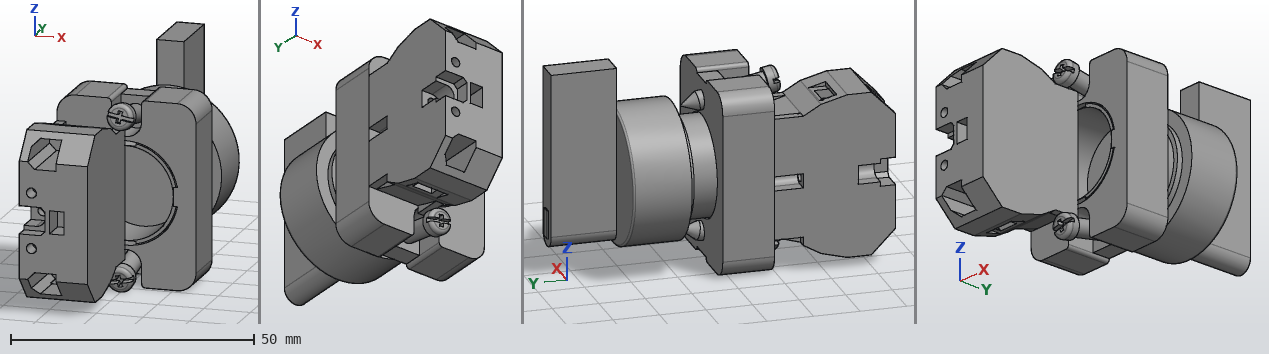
import cadquery as cq
import math


base_front = 26.0
base_back = 37.15
flange_front = 42.35
bezel_front = 43.7
bezel_back = 56.3
handle_back = 70.3
mark_back = 70.6

handle_width = 5.85
handle_top = 24.35
handle_bottom = -14.1
mark_width = 2.1
mark_top = -6.1
mark_bottom = -12.2

bezel_radius = 15.0
bezel_round = 0.4
flange_radius = 12.0
barrel_radius = 10.9
barrel_bore_radius = 10.1
key_width = 4.1
key_depth = 2.8
ramp_low = 10.2
ramp_high = 10.8

base_width = 29.9
base_height = 39.95
base_corner_radius = 4.0
base_bore_radius = 11.15
screw_slot_width = 6.5
screw_slot_bottom = 12.1
screw_slot_edge_round = 0.85
lug_front = 32.7
lug_top = 19.05

screw_tip_y = 41.8
screw_tip_z = 13.5
screw_tilt = 10.9
screw_point_length = 3.75
screw_body_length = 18.6
screw_radius = 2.05
screw_head_radius = 2.8
screw_head_length = 2.7
screw_head_round = 0.9
drive_slot_width = 0.9
drive_slot_depth = 1.4
drive_cross_length = 2.55
drive_turn = 10.0

block_left = -base_width / 2
block_right = -0.3
shoulder_y = 19.85
shoulder_z = 14.2
knee_y = 16.0
knee_z = 16.4
crown_back = 10.4
crown_front = 5.2
crown_z = 17.85
nose_z = 12.6
rail_width = 2.0
rail_height = 1.85

pocket_left = -13.1
pocket_right = -7.05
pocket_bottom = 11.0
pocket_top = 16.6
pocket_chamfer = 1.5
pocket_depth = 15.05
window_left = -13.0
window_right = -5.15
window_front = 12.1
window_floor = 16.45
opening_left = -11.85

hole_x = -12.35
hole_radius = 1.05
test_hole_z = 5.9
test_hole_depth = 4.25
head_notch_right = -9.45
head_notch_height = 6.0
head_notch_depth = 3.25
head_notch_chamfer = 0.9
front_slot_radius = 2.05
front_slot_end = 8.0
rear_slot_radius = 1.55
latch_left = -8.5
latch_right = -5.4
latch_height = 4.95
latch_depth = 5.65


def block(x_min, x_max, y_min, y_max, z_min, z_max):
    """Rectangular block between the given limits."""
    size = (x_max - x_min, y_max - y_min, z_max - z_min)
    return cq.Workplane("XY").box(*size, centered=False).translate((x_min, y_min, z_min))


def rod(radius, y_min, y_max, x=0.0, z=0.0):
    """Cylinder running along Y."""
    solid = cq.Solid.makeCylinder(radius, y_max - y_min, cq.Vector(x, y_min, z), cq.Vector(0, 1, 0))
    return cq.Workplane("XY").add(solid)


def with_mirror(shape):
    """The shape together with its mirror image below the Z = 0 plane."""
    return shape.union(shape.mirror("XY"))


def make_handle():
    half_width = handle_width / 2
    round_center_z = handle_bottom + half_width
    grip = (
        cq.Workplane("XZ", origin=(0, handle_back, 0))
        .moveTo(-half_width, handle_top)
        .lineTo(half_width, handle_top)
        .lineTo(half_width, round_center_z)
        .threePointArc((0, handle_bottom), (-half_width, round_center_z))
        .close()
        .extrude(handle_back - bezel_back)
    )
    mark = block(-mark_width / 2, mark_width / 2, handle_back, mark_back, mark_bottom, mark_top)
    return grip.union(mark)


def side_keys():
    """Inward keys of the base on the +X and -X sides, engaging the end of the barrel."""
    key_back = base_front + key_depth
    half_width = key_width / 2
    bar = block(-base_bore_radius, base_bore_radius, base_front, key_back, -half_width, half_width)
    middle = block(-barrel_bore_radius, barrel_bore_radius, base_front, key_back, -half_width, half_width)
    return bar.cut(middle)


def make_head():
    bezel = rod(bezel_radius, bezel_front, bezel_back).faces(">Y").edges().fillet(bezel_round)
    flange = rod(flange_radius, flange_front, bezel_front)
    barrel = rod(barrel_radius, base_front, flange_front)
    head = bezel.union(flange).union(barrel)
    head = head.cut(rod(barrel_bore_radius, base_front, base_back))
    ramp = (
        cq.Workplane("YZ")
        .polyline([
            (base_front, ramp_low),
            (base_front + key_depth, ramp_high),
            (base_front + key_depth, base_bore_radius),
            (base_front, base_bore_radius),
        ])
        .close()
        .extrude(key_width / 2, both=True)
    )
    return head.cut(with_mirror(ramp)).cut(side_keys())


def screw_slot():
    """Upper screw slot of the base: round-bottomed, open at the top, with rounded mouth edges."""
    half_width = screw_slot_width / 2
    top = base_height / 2
    arc_center_z = screw_slot_bottom + half_width
    mouth = half_width + screw_slot_edge_round
    round_start_z = top - screw_slot_edge_round
    diagonal = screw_slot_edge_round * (1 - math.sqrt(0.5))
    return (
        cq.Workplane("XZ", origin=(0, base_back, 0))
        .moveTo(-mouth, top)
        .threePointArc((-half_width - diagonal, top - diagonal), (-half_width, round_start_z))
        .lineTo(-half_width, arc_center_z)
        .threePointArc((0, screw_slot_bottom), (half_width, arc_center_z))
        .lineTo(half_width, round_start_z)
        .threePointArc((half_width + diagonal, top - diagonal), (mouth, top))
        .close()
        .extrude(base_back - base_front)
    )


def make_base(screws):
    half_width = base_width / 2
    half_height = base_height / 2
    base = block(-half_width, half_width, base_front, base_back, -half_height, half_height)
    base = base.edges("|Y").fillet(base_corner_radius)
    base = base.cut(rod(base_bore_radius, base_front, base_back))
    base = base.union(side_keys()).cut(with_mirror(screw_slot()))
    lug = block(-screw_slot_width / 2, screw_slot_width / 2, lug_front, base_back, screw_slot_bottom, lug_top)
    base = base.union(with_mirror(lug))
    for screw in screws:
        base = base.cut(screw)
    return base


def make_screw():
    """Upper screw, tilted so that its head points away from the switch axis."""
    head_start = -screw_body_length
    head_end = head_start - screw_head_length
    screw = (
        cq.Workplane("XY")
        .polyline([
            (0, 0),
            (screw_radius, -screw_point_length),
            (screw_radius, head_start),
            (screw_head_radius, head_start),
            (screw_head_radius, head_end),
            (0, head_end),
        ])
        .close()
        .revolve(360, (0, 0, 0), (0, 1, 0))
        .faces("<Y")
        .edges()
        .fillet(screw_head_round)
    )
    slot_end = head_end + drive_slot_depth
    half_slot = drive_slot_width / 2
    half_cross = drive_cross_length / 2
    full_slot = block(-screw_head_radius, screw_head_radius, head_end, slot_end, -half_slot, half_slot)
    cross_slot = block(-half_slot, half_slot, head_end, slot_end, -half_cross, half_cross)
    screw = screw.cut(full_slot.union(cross_slot).rotate((0, 0, 0), (0, 1, 0), drive_turn))
    screw = screw.rotate((0, 0, 0), (1, 0, 0), -screw_tilt)
    return screw.translate((0, screw_tip_y, screw_tip_z))


def block_body():
    """Contact block outline in the YZ plane, extruded across its width."""
    upper = [
        (0, nose_z),
        (crown_front, crown_z),
        (crown_back, crown_z),
        (knee_y, knee_z),
        (shoulder_y, shoulder_z),
        (base_front, shoulder_z),
    ]
    lower = [(y, -z) for y, z in reversed(upper)]
    outline = cq.Workplane("YZ", origin=(block_left, 0, 0)).polyline(upper + lower).close()
    return outline.extrude(block_right - block_left)


def shoulder_wedge():
    """Wedge that slopes the shoulder down toward the base between its two side rails."""
    return (
        cq.Workplane("YZ", origin=(block_left + rail_width, 0, 0))
        .polyline([
            (shoulder_y, shoulder_z),
            (base_front, shoulder_z),
            (base_front, shoulder_z - rail_height),
        ])
        .close()
        .extrude(block_right - block_left - 2 * rail_width)
    )


def terminal_pocket():
    """Upper terminal pocket, with the window that opens into it from the sloping top."""
    pocket = block(pocket_left, pocket_right, 0, pocket_depth, pocket_bottom, pocket_top)
    pocket = pocket.edges("|Y and <X").chamfer(pocket_chamfer)
    recess = block(window_left, window_right, window_front, knee_y, window_floor, crown_z)
    opening = block(opening_left, pocket_right, window_front, pocket_depth, pocket_bottom + pocket_chamfer,
                    window_floor)
    return pocket.union(recess).union(opening)


def side_slot(radius, y_min, y_max):
    """Round-ended slot open on the -X side and ending around the fixing hole axis."""
    straight = block(block_left, hole_x, y_min, y_max, -radius, radius)
    return straight.union(rod(radius, y_min, y_max, hole_x))


def make_contact_block():
    body = block_body()
    body = body.cut(with_mirror(shoulder_wedge()))
    body = body.cut(block(block_left, block_left + rail_width, shoulder_y, base_front,
                          -shoulder_z, rail_height - shoulder_z))
    body = body.cut(with_mirror(terminal_pocket()))
    notch = block(block_left, head_notch_right, 0, head_notch_depth,
                  -head_notch_height / 2, head_notch_height / 2)
    notch = notch.edges("|Y and >X").chamfer(head_notch_chamfer)
    body = body.cut(notch)
    body = body.cut(side_slot(front_slot_radius, 0, front_slot_end))
    body = body.cut(side_slot(rear_slot_radius, shoulder_y, base_front))
    body = body.cut(rod(hole_radius, front_slot_end, shoulder_y, hole_x))
    for z in (-test_hole_z, test_hole_z):
        body = body.cut(rod(hole_radius, 0, test_hole_depth, hole_x, z))
    return body.cut(block(latch_left, latch_right, 0, latch_depth, -latch_height / 2, latch_height / 2))


handle = make_handle()
head = make_head()
upper_screw = make_screw()
screws = [upper_screw, upper_screw.mirror("XY")]
base = make_base(screws)
contact_block = make_contact_block()

result = cq.Compound.makeCompound([
    handle.val(),
    head.val(),
    base.val(),
    contact_block.val(),
    *[screw.val() for screw in screws],
])